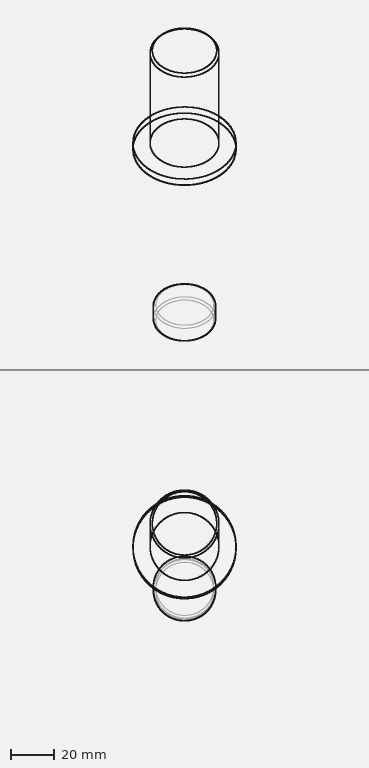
import cadquery as cq

total_height = 175.0

flange_diameter = 48.0
flange_thickness = 4.0
shank_diameter = 32.0
pin_height = 64.0
shank_chamfer_height = 1.5
shank_chamfer_inset = 1.0

disc_diameter = 29.0
disc_thickness = 10.0
disc_fillet = 1.0

pin_base = total_height - pin_height


def revolve_about_z(profile):
    """Turn a closed (radius, height) outline about the Z axis, starting on the -Y side."""
    points = [(-radius, height) for radius, height in profile]
    return cq.Workplane("YZ").polyline(points).close().revolve(360, (0, 0), (0, 1))


def make_pin():
    """Headed pin: round flange below, chamfered cylindrical shank above."""
    flange_radius = flange_diameter / 2
    shank_radius = shank_diameter / 2
    flange_top = pin_base + flange_thickness
    return revolve_about_z([
        (0, pin_base),
        (flange_radius, pin_base),
        (flange_radius, flange_top),
        (shank_radius, flange_top),
        (shank_radius, total_height - shank_chamfer_height),
        (shank_radius - shank_chamfer_inset, total_height),
        (0, total_height),
    ])


def make_disc():
    """Loose disc on the pin axis, rounded on both rims."""
    blank = cq.Workplane("XY").circle(disc_diameter / 2).extrude(disc_thickness)
    return blank.faces("<Z or >Z").edges().fillet(disc_fillet)


pin = make_pin()
disc = make_disc()

result = cq.Compound.makeCompound([pin.val(), disc.val()])